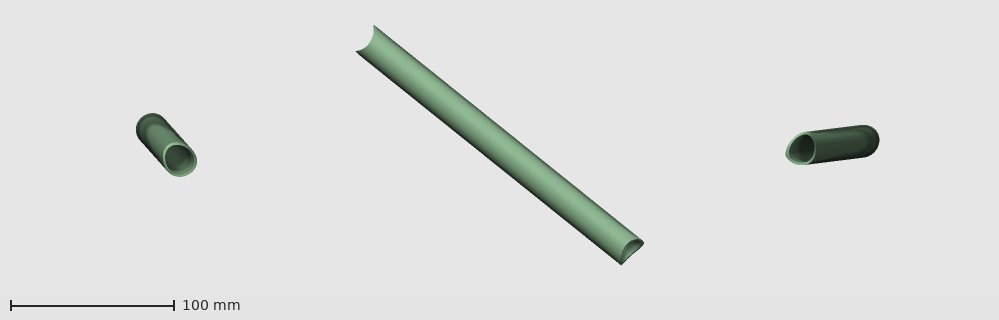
import cadquery as cq
import math

TUBE_RADIUS = 10.0
BORE_RADIUS = 8.5
TUBE_AXIS = cq.Vector(1, -0.426, 0.343).normalized()

UPPER_NODE = 109.8
LOWER_NODE = 122.2

UPPER_MEMBER_RADIUS = 10.45
UPPER_MEMBER_ANGLES = [(-2.1, -19.8), (-7.7, -65.5)]

LOWER_MEMBER_RADIUS = 18.92
LOWER_MEMBER_ANGLES = (27.6, -49.8)
LOWER_MEMBER_OFFSET = 1.67

MEMBER_LENGTH = 200.0


def direction(heading, elevation):
    """Unit vector from a heading in the XY plane and an elevation above it, in degrees."""
    h = math.radians(heading)
    e = math.radians(elevation)
    return cq.Vector(math.cos(e) * math.cos(h), math.cos(e) * math.sin(h), math.sin(e))


def tube():
    """Plain tube reaching from the lower node to the upper node."""
    start = TUBE_AXIS * -LOWER_NODE
    length = LOWER_NODE + UPPER_NODE
    outside = cq.Solid.makeCylinder(TUBE_RADIUS, length, start, TUBE_AXIS)
    bore = cq.Solid.makeCylinder(BORE_RADIUS, length, start, TUBE_AXIS)
    return cq.Workplane(outside).cut(cq.Workplane(bore))


def crossing_member(station, angles, radius, offset=0.0):
    """Round bar crossing the tube at a station, set aside from the tube axis by the offset."""
    axis = direction(*angles)
    sideways = axis.cross(TUBE_AXIS).normalized()
    centre = TUBE_AXIS * station + sideways * offset
    bar = cq.Solid.makeCylinder(radius, MEMBER_LENGTH, centre - axis * (MEMBER_LENGTH / 2), axis)
    return cq.Workplane(bar)


def cope_upper_end(body):
    for angles in UPPER_MEMBER_ANGLES:
        body = body.cut(crossing_member(UPPER_NODE, angles, UPPER_MEMBER_RADIUS))
    return body


def cope_lower_end(body):
    member = crossing_member(
        -LOWER_NODE, LOWER_MEMBER_ANGLES, LOWER_MEMBER_RADIUS, LOWER_MEMBER_OFFSET
    )
    return body.cut(member)


result = cope_lower_end(cope_upper_end(tube()))